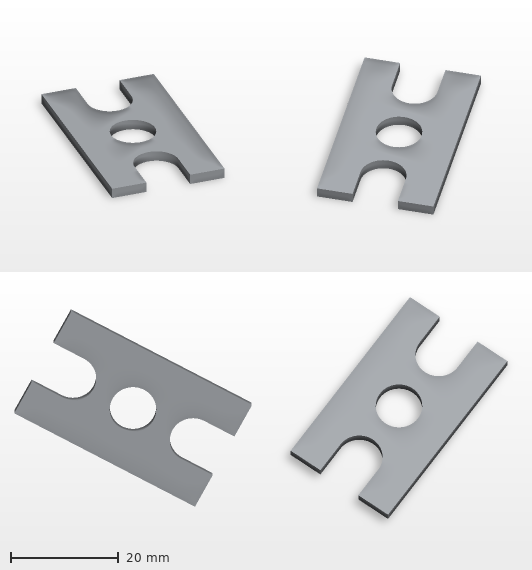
import cadquery as cq

length = 38.1
width = 22.2
thickness = 2.0

hole_diameter = 8.65
slot_depth = 10.7


def end_slot(side):
    """Round-ended slot open at the -X (side = -1) or +X (side = 1) end."""
    return (
        cq.Workplane("XY")
        .center(side * length / 2, 0)
        .slot2D(2 * slot_depth, hole_diameter)
        .extrude(thickness)
    )


plate = cq.Workplane("XY").box(length, width, thickness, centered=(True, True, False))
result = plate.faces(">Z").workplane().hole(hole_diameter)

for side in (-1, 1):
    result = result.cut(end_slot(side))